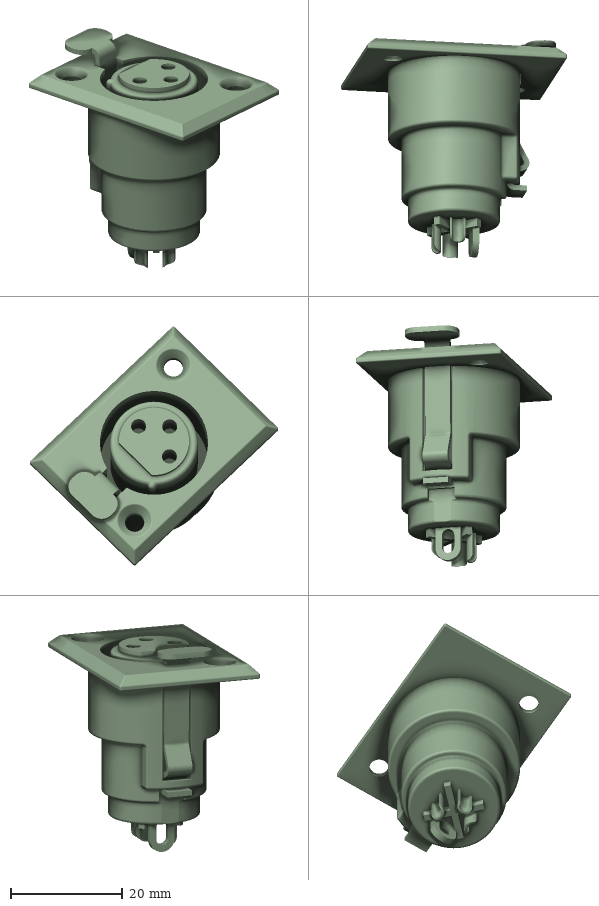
import cadquery as cq
import math


flange_length = 36.5
flange_width = 27.1
flange_height = 2.5
bevel = 1.65
flange_edge_radius = 0.35
flange_base_radius = 0.25
screw_x = 12.7
screw_y = 7.92
screw_hole_diameter = 3.5
countersink_diameter = 6.1
countersink_angle = 90
countersink_edge_radius = 0.35
selection_margin = 0.05

upper_radius = 23.8 / 2
upper_bottom = -12.5
middle_radius = 9.5
middle_bottom = -23.7
lower_radius = 8.3
barrel_bottom = -28.0
barrel_edge_radius = 0.5
boss_half_width = 5.52
boss_bottom = -20.7
bore_radius = 9.72
bore_floor = -10.9
spigot_radius = 13.5 / 2

slot_half_width = 2.52
slot_back_x = -8.85
slot_front_x = -12.05
pocket_half_width = 2.8
pocket_back_x = -10.8
bridge_top = -19.15
flat_x = -8.12
flat_top = -21.8

insert_radius = 7.9
rim_radius = 0.65
nose_radius = 6.32
nose_flat_x = -4.7
nose_top = 3.5
contact_offset = 3.95
contact_diameter = 2.7
contact_depth = 6.0
key_radius = 0.7
key_blend_radius = 0.5
key_angle = 223
cross_bottom = -29.5
cross_reach = 5.5
cross_width = 1.15
cup_offset = 3.85
cup_radius = 1.45
cup_wall = 0.4
cup_rounding = 1.25
cup_bottom = -33.55
short_cup_bottom = -32.25
lug_front_x = -4.2
lug_thickness = 1.15
lug_half_width = 2.35
lug_bottom = -34.05
lug_hole_width = 2.32
lug_hole_top = -28.33
lug_hole_bottom = -32.73

strip_thickness = 0.95
latch_half_width = 2.32
paddle_half_width = 4.92
paddle_corner_radius = 2.4
paddle_tip_x = -18.12
paddle_back_x = -12.65
latch_ceiling = 8.0
latch_path = [
    (paddle_tip_x, 5.5, 0),
    (-11.45, 5.1, 1.25),
    (-10.9, -12.52, 1.32),
    (-13.3, -17.05, 0.95),
    (-9.65, -18.72, 1.0),
    (-9.65, -21.33, 1.0),
    (-12.95, -21.33, 0),
]


def block(x0, x1, y0, y1, z0, z1):
    """Axis-aligned box between the given limits."""
    return cq.Workplane("XY").box(x1 - x0, y1 - y0, z1 - z0, centered=False).translate((x0, y0, z0))


def cylinder(radius, z0, z1):
    """Upright cylinder on the Z axis."""
    return cq.Workplane("XY").workplane(offset=z0).circle(radius).extrude(z1 - z0)


def make_flange():
    flange = cq.Workplane("XY").box(flange_length, flange_width, flange_height, centered=(True, True, False))
    flange = flange.faces(">Z").edges().chamfer(bevel)
    flange = flange.edges("not <Z").fillet(flange_edge_radius)
    flange = flange.faces("<Z").edges().fillet(flange_base_radius)
    screw_points = [(screw_x, screw_y), (-screw_x, -screw_y)]
    flange = (
        flange.faces(">Z").workplane(origin=(0, 0, flange_height)).pushPoints(screw_points)
        .cskHole(screw_hole_diameter, countersink_diameter, countersink_angle)
    )
    reach = countersink_diameter / 2 + selection_margin
    lowest = flange_height - selection_margin
    highest = flange_height + selection_margin
    for x, y in screw_points:
        around_rim = cq.selectors.BoxSelector(
            (x - reach, y - reach, lowest), (x + reach, y + reach, highest), True
        )
        flange = flange.edges(around_rim).edges("%CIRCLE").fillet(countersink_edge_radius)
    return flange


def make_barrel():
    barrel = cylinder(upper_radius, upper_bottom, 0)
    boss = cylinder(upper_radius, boss_bottom, 0).intersect(
        block(-upper_radius, 0, -boss_half_width, boss_half_width, boss_bottom, 0)
    )
    barrel = barrel.union(boss)
    barrel = barrel.union(cylinder(middle_radius, middle_bottom, 0))
    barrel = barrel.union(cylinder(lower_radius, barrel_bottom, 0))
    return barrel.edges("not >Z").fillet(barrel_edge_radius)


def cut_latch_channel(housing):
    slot = block(slot_front_x, slot_back_x, -slot_half_width, slot_half_width, bridge_top, flange_height)
    pocket = block(-upper_radius, pocket_back_x, -pocket_half_width, pocket_half_width, bridge_top, 0)
    behind_bridge = block(pocket_back_x, slot_back_x, -slot_half_width, slot_half_width, flat_top, bridge_top)
    lower_flat = block(-upper_radius, flat_x, -slot_half_width, slot_half_width, barrel_bottom, flat_top)
    return housing.cut(slot).cut(pocket).cut(behind_bridge).cut(lower_flat)


def make_housing():
    housing = make_flange().union(make_barrel())
    housing = housing.cut(cylinder(bore_radius, bore_floor, flange_height))
    housing = housing.cut(cylinder(spigot_radius, barrel_bottom, bore_floor))
    return cut_latch_channel(housing)


def make_core():
    core = cylinder(insert_radius, bore_floor, flange_height)
    key_centre = cq.Workplane("XY").workplane(offset=bore_floor).center(insert_radius, 0)
    core = core.union(key_centre.circle(key_radius).extrude(flange_height - bore_floor))
    beside_key = cq.selectors.BoxSelector(
        (insert_radius - key_radius, -2 * key_radius, bore_floor),
        (insert_radius + key_radius, 2 * key_radius, flange_height),
    )
    core = core.edges("|Z").edges(beside_key).fillet(key_blend_radius)
    core = core.faces(">Z").edges().fillet(rim_radius).rotate((0, 0, 0), (0, 0, 1), key_angle)
    nose = cylinder(nose_radius, flange_height, nose_top).intersect(
        block(nose_flat_x, nose_radius, -nose_radius, nose_radius, flange_height, nose_top)
    )
    contact_points = [(contact_offset, 0), (0, contact_offset), (0, -contact_offset)]
    contact_holes = (
        cq.Workplane("XY").workplane(offset=nose_top).pushPoints(contact_points)
        .circle(contact_diameter / 2).extrude(-contact_depth)
    )
    return core.union(nose).cut(contact_holes).union(cylinder(spigot_radius, barrel_bottom, bore_floor))


def make_cross():
    """Two crossed diagonal ribs that part the solder tails."""
    cross = cylinder(cross_width / 2, cross_bottom, barrel_bottom)
    for angle in (45, 135):
        rib = block(-cross_reach, cross_reach, -cross_width / 2, cross_width / 2, cross_bottom, barrel_bottom)
        cross = cross.union(rib.rotate((0, 0, 0), (0, 0, 1), angle))
    return cross


def make_solder_cup(angle, bottom):
    """Half-round trough, open away from the axis, with its lower outer corners rounded off."""
    cup = (
        cq.Workplane("XY").workplane(offset=bottom).circle(cup_radius).circle(cup_radius - cup_wall)
        .extrude(barrel_bottom - bottom)
    )
    cup = cup.cut(block(0, cup_radius, -cup_radius, cup_radius, bottom, barrel_bottom))
    rounding = (
        cq.Workplane("XZ").moveTo(0, bottom).lineTo(0, bottom + cup_rounding)
        .radiusArc((-cup_rounding, bottom), cup_rounding).close().extrude(cup_radius, both=True)
    )
    return cup.cut(rounding).translate((cup_offset, 0, 0)).rotate((0, 0, 0), (0, 0, 1), angle)


def make_ground_lug():
    """Flat tail with a round end and a long eye."""
    round_centre = lug_bottom + lug_half_width
    lug_back_x = lug_front_x + lug_thickness
    lug = block(lug_front_x, lug_back_x, -lug_half_width, lug_half_width, round_centre, barrel_bottom)
    round_end = (
        cq.Workplane("YZ").workplane(offset=lug_front_x).center(0, round_centre)
        .circle(lug_half_width).extrude(lug_thickness)
    )
    eye = (
        cq.Workplane("YZ").workplane(offset=lug_front_x).center(0, (lug_hole_top + lug_hole_bottom) / 2)
        .slot2D(lug_hole_top - lug_hole_bottom, lug_hole_width, 90)
        .extrude(lug_thickness)
    )
    return lug.union(round_end).cut(eye)


def make_insert():
    insert = make_core().union(make_cross()).union(make_ground_lug())
    for angle, bottom in [(0, cup_bottom), (90, short_cup_bottom), (-90, cup_bottom)]:
        insert = insert.union(make_solder_cup(angle, bottom))
    return insert


def strip_side(path, offset):
    """One face of a bent strip, at a signed distance to the left of its centre line.

    Returns the start point, a list of (arc start, arc middle, arc end) for the bends, and the end point.
    """
    def heading(a, b):
        return math.atan2(b[1] - a[1], b[0] - a[0])

    def shifted(point, angle):
        return (point[0] - offset * math.sin(angle), point[1] + offset * math.cos(angle))

    bends = []
    for before, corner, after in zip(path, path[1:], path[2:]):
        angle_in = heading(before, corner)
        angle_out = heading(corner, after)
        turn = math.remainder(angle_out - angle_in, 2 * math.pi)
        side = math.copysign(1, turn)
        tangent = corner[2] * math.tan(abs(turn) / 2)
        start_x = corner[0] - tangent * math.cos(angle_in)
        start_z = corner[1] - tangent * math.sin(angle_in)
        centre_x = start_x - side * corner[2] * math.sin(angle_in)
        centre_z = start_z + side * corner[2] * math.cos(angle_in)
        face_radius = corner[2] - side * offset
        bends.append([
            (centre_x + side * face_radius * math.sin(a), centre_z - side * face_radius * math.cos(a))
            for a in (angle_in, angle_in + turn / 2, angle_in + turn)
        ])
    first = shifted(path[0], heading(path[0], path[1]))
    last = shifted(path[-1], heading(path[-2], path[-1]))
    return first, bends, last


def make_strip(half_width):
    """Sheet strip bent along the latch path, centred on Y = 0."""
    first, left_bends, last = strip_side(latch_path, strip_thickness / 2)
    right_first, right_bends, right_last = strip_side(latch_path, -strip_thickness / 2)
    outline = cq.Workplane("XZ").moveTo(*first)
    for start, middle, end in left_bends:
        outline = outline.lineTo(*start).threePointArc(middle, end)
    outline = outline.lineTo(*last).lineTo(*right_last)
    for start, middle, end in reversed(right_bends):
        outline = outline.lineTo(*end).threePointArc(middle, start)
    return outline.lineTo(*right_first).close().extrude(half_width, both=True)


def make_latch():
    strip = make_strip(latch_half_width)
    paddle_length = paddle_back_x - paddle_tip_x
    paddle_area = (
        cq.Workplane("XY").rect(paddle_length, 2 * paddle_half_width).extrude(latch_ceiling)
        .edges("|Z").fillet(paddle_corner_radius)
        .translate(((paddle_tip_x + paddle_back_x) / 2, 0, 0))
    )
    paddle = make_strip(paddle_half_width).intersect(paddle_area)
    stem_limits = block(paddle_back_x - strip_thickness, 0, -latch_half_width, latch_half_width,
                        barrel_bottom, latch_ceiling)
    spring_limits = block(paddle_tip_x, 0, -latch_half_width, latch_half_width, barrel_bottom, 0)
    return strip.intersect(stem_limits.union(spring_limits)).union(paddle)


housing = make_housing()
insert = make_insert()
latch = make_latch()
result = cq.Compound.makeCompound([housing.solids().val(), insert.solids().val(), latch.solids().val()])